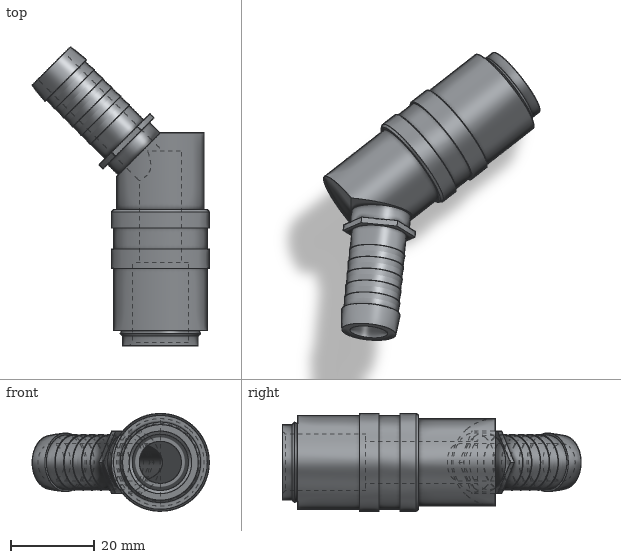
import cadquery as cq
import math


neck_radius = 9.05
neck_length = 2.3
lip_radius = 9.65
lip_peak = 2.95
lip_root_radius = 9.3
sleeve_radius = 11.25
sleeve_start = 3.65
band_radius = 11.75
front_band_start = 18.55
front_band_end = 23.2
rear_band_start = 28.2
rear_band_end = 32.7
band_chamfer_radial = 0.45
band_chamfer_axial = 0.6
shank_radius = 10.5
body_length = 51.1

mouth_radius = 7.5
socket_radius = 6.75
mouth_chamfer = mouth_radius - socket_radius
socket_depth = 20.0
inner_bore_radius = 5.05
inner_bore_depth = 46.75

barb_angle = 45.0
axes_crossing = 40.9
mitre_offset = (body_length - axes_crossing) * math.cos(math.radians(barb_angle))
barb_length = 29.8
barb_bore_radius = 4.5
hose_radius = 6.55
tip_radius = 6.5
bulb_radius = 7.05
bulb_mid_radius = 6.85
bulb_length = 4.9
ridge_radius = 6.7
ridge_length = 1.5
ridge_gap = 1.5
ridge_count = 5
root_radius = 7.1
root_length = 3.6

hex_across_flats = 15.0
hex_across_corners = hex_across_flats / math.cos(math.radians(30))
hex_thickness = 1.4


def barb_plane(distance):
    """Plane square to the barb axis, at a distance from where the axes cross."""
    angle = math.radians(barb_angle)
    outward = cq.Vector(-math.sin(angle), math.cos(angle), 0)
    origin = cq.Vector(0, axes_crossing, 0) + outward * distance
    in_plane = cq.Vector(math.cos(angle), math.sin(angle), 0)
    return cq.Plane(origin=origin, xDir=in_plane, normal=outward)


def make_body():
    """Turned socket body with its upper corner mitred square to the barb."""
    profile = [
        (0, 0),
        (neck_radius, 0),
        (neck_radius, neck_length),
        (lip_radius, lip_peak),
        (lip_root_radius, sleeve_start),
        (sleeve_radius, sleeve_start),
        (sleeve_radius, front_band_start),
        (band_radius, front_band_start),
        (band_radius, front_band_end),
        (sleeve_radius, front_band_end),
        (sleeve_radius, rear_band_start),
        (band_radius, rear_band_start),
        (band_radius, rear_band_end - band_chamfer_axial),
        (band_radius - band_chamfer_radial, rear_band_end),
        (shank_radius, rear_band_end),
        (shank_radius, body_length),
        (0, body_length),
    ]
    body = cq.Workplane("XY").polyline(profile).close().revolve(360, (0, 0, 0), (0, 1, 0))
    waste = cq.Workplane(barb_plane(mitre_offset)).rect(body_length, body_length).extrude(body_length)
    return body.cut(waste)


def make_barb():
    """Turned hose barb, drawn with its root on the mitre face and its tip outermost."""
    bulb_step = barb_length - bulb_length
    root_plane = barb_plane(mitre_offset)
    axial_plane = cq.Plane(origin=root_plane.origin, xDir=root_plane.xDir, normal=(0, 0, 1))
    outline = (
        cq.Workplane(axial_plane)
        .moveTo(0, 0)
        .lineTo(root_radius, 0)
        .lineTo(root_radius, root_length)
        .lineTo(hose_radius, root_length)
    )
    first_ridge_end = bulb_step - ridge_gap
    ridge_pitch = ridge_length + ridge_gap
    for index in reversed(range(ridge_count)):
        thin_end = first_ridge_end - index * ridge_pitch
        step = thin_end - ridge_length
        outline = outline.lineTo(hose_radius, step).lineTo(ridge_radius, step).lineTo(hose_radius, thin_end)
    outline = (
        outline.lineTo(hose_radius, bulb_step)
        .lineTo(bulb_radius, bulb_step)
        .threePointArc((bulb_mid_radius, barb_length - bulb_length / 2), (tip_radius, barb_length))
        .lineTo(0, barb_length)
        .close()
    )
    return outline.revolve(360, (0, 0, 0), (0, 1, 0))


def make_hex_flange():
    """Thin hexagon with two flats facing up and down and corners in the XY plane."""
    flange_start = mitre_offset + root_length
    return cq.Workplane(barb_plane(flange_start)).polygon(6, hex_across_corners).extrude(hex_thickness)


def make_socket_bore():
    """Chamfered socket, stepping down to a flat-bottomed inner bore."""
    profile = [
        (0, 0),
        (mouth_radius, 0),
        (socket_radius, mouth_chamfer),
        (socket_radius, socket_depth),
        (inner_bore_radius, socket_depth),
        (inner_bore_radius, inner_bore_depth),
        (0, inner_bore_depth),
    ]
    return cq.Workplane("XY").polyline(profile).close().revolve(360, (0, 0, 0), (0, 1, 0))


def make_barb_bore():
    """Straight bore from the crossing of the axes out through the barb tip."""
    return cq.Workplane(barb_plane(0)).circle(barb_bore_radius).extrude(mitre_offset + barb_length)


outside = make_body().union(make_barb()).union(make_hex_flange())
result = outside.cut(make_socket_bore()).cut(make_barb_bore())